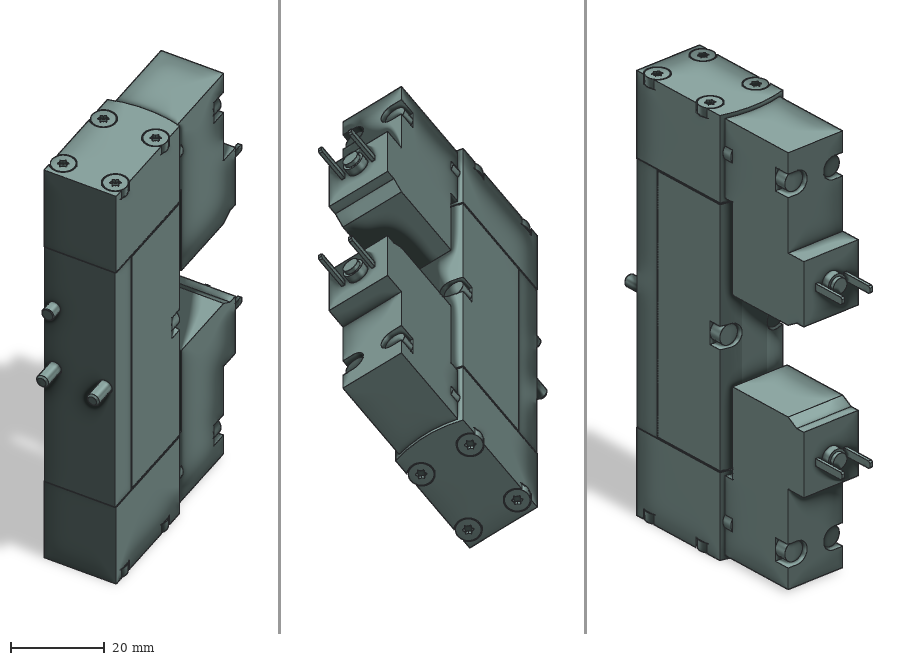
import cadquery as cq
import math


LENGTH = 107.8
HALF_LENGTH = LENGTH / 2
COVER_HALF_WIDTH = 8.9
BASE_HALF_WIDTH = 8.7
SIDE_HEIGHT = 27.4
CROWN_HEIGHT = 28.7
JOINT_Z = 32.6
COVER_JOINT_GAP = 0.3
BASE_HEIGHT = 6.85
END_BLOCK_SETBACK = 0.15
LABEL_FLAT_Y = 28.5
LABEL_FLAT_HALF_LENGTH = 19.3

END_SCREW_X = 6.45
END_SCREW_YS = (4.1, 21.4)
END_HEAD_DIAMETER = 5.5
END_POCKET_DIAMETER = 6.0
END_HEAD_HEIGHT = 2.4
STAR_OUTER_DIAMETER = 2.5
STAR_INNER_DIAMETER = 1.8
STAR_LOBES = 6
STAR_DEPTH = 1.0

SLOT_HEAD_DIAMETER = 5.0
SLOT_WIDTH = 5.7
BODY_SCREW_X = 6.4
BODY_SLOT_FLOOR_Y = 24.2
BODY_HEAD_TOP_Y = 27.4
COIL_SCREW_X = 5.2
COIL_SCREW_Z = 44.85
COIL_SLOT_FLOOR_Y = 44.2
COIL_HEAD_TOP_Y = 47.3

PIN_X = 6.25
PIN_DIAMETER = 3.0
PIN_LENGTH = 5.5
PIN_TIP_CHAMFER = 0.45
PIN_HOLE_DIAMETER = 3.5
PIN_HOLE_DEPTH = 2.0
LOCATING_PIN_Z = 16.9
LOCATING_PIN_LENGTH = 3.0
LOCATING_PIN_CHAMFER = 0.2

COIL_HALF_WIDTH = 7.7
COIL_SEAT_Y = 27.0
COIL_GAP_Y = 30.2
COIL_SHOULDER_Y = 48.4
COIL_BACK_Y = 53.5
COIL_OUTER_Z = 52.9
COIL_FOOT_Z = 33.6
COIL_SHOULDER_Z = 28.6
COIL_LIP_Z = 12.75
COIL_LIP_DEPTH = 2.3
COIL_INNER_Z = 11.1
SPIGOT_X = 5.45
SPIGOT_Z = 44.65
SPIGOT_DIAMETER = 5.5

PLUG_Z = 21.2
PLUG_DIAMETER = 5.0
PLUG_TOP_Y = 55.5
PLUG_TIP_DIAMETER = 3.8
PLUG_TIP_Y = 56.5
TERMINAL_X = 3.95
TERMINAL_THICKNESS = 0.8
TERMINAL_WIDTH = 1.8
TERMINAL_TIP_Y = 62.1
TERMINAL_TIP_CHAMFER = 0.4

SIDES = (-1, 1)


def block(x_half, y_start, y_end, z_start, z_end):
    """Box centred on X = 0 between the given Y and Z limits."""
    return cq.Workplane("XY").box(
        2 * x_half, y_end - y_start, z_end - z_start, centered=(True, False, False)
    ).translate((0, y_start, z_start))


def rod(x, z, diameter, y_start, y_end):
    """Cylinder along Y."""
    return (
        cq.Workplane("XZ", origin=(x, y_start, z))
        .circle(diameter / 2)
        .extrude(y_start - y_end)
    )


def crowned_block(half_width, y_front, z_start, z_end):
    """Prism along Z with flat sides and an arched back."""
    return (
        cq.Workplane("XY", origin=(0, 0, z_start))
        .moveTo(-half_width, y_front)
        .lineTo(half_width, y_front)
        .lineTo(half_width, SIDE_HEIGHT)
        .threePointArc((0, CROWN_HEIGHT), (-half_width, SIDE_HEIGHT))
        .close()
        .extrude(z_end - z_start)
    )


def middle_body():
    base = block(BASE_HALF_WIDTH, 0, SIDE_HEIGHT, -JOINT_Z, JOINT_Z)
    cover_z = JOINT_Z - COVER_JOINT_GAP
    cover = crowned_block(COVER_HALF_WIDTH, BASE_HEIGHT, -cover_z, cover_z)
    label_flat = block(
        COVER_HALF_WIDTH, LABEL_FLAT_Y, CROWN_HEIGHT, -LABEL_FLAT_HALF_LENGTH, LABEL_FLAT_HALF_LENGTH
    )
    return base.union(cover.cut(label_flat))


def star_recess(x, y):
    """Six-lobed driver recess sunk into the +Z end."""
    points = []
    for i in range(2 * STAR_LOBES):
        diameter = STAR_INNER_DIAMETER if i % 2 else STAR_OUTER_DIAMETER
        angle = math.pi / 2 + i * math.pi / STAR_LOBES
        points.append((x + diameter / 2 * math.cos(angle), y + diameter / 2 * math.sin(angle)))
    return (
        cq.Workplane("XY", origin=(0, 0, HALF_LENGTH))
        .polyline(points)
        .close()
        .extrude(-STAR_DEPTH)
    )


def end_block():
    """End block on the +Z side with its four flush screws."""
    body = crowned_block(COVER_HALF_WIDTH, END_BLOCK_SETBACK, JOINT_Z, HALF_LENGTH)
    end_plane = cq.Workplane("XY", origin=(0, 0, HALF_LENGTH))
    for side in SIDES:
        for y in END_SCREW_YS:
            centre = end_plane.center(side * END_SCREW_X, y)
            pocket = centre.circle(END_POCKET_DIAMETER / 2).extrude(-END_HEAD_HEIGHT)
            head = centre.circle(END_HEAD_DIAMETER / 2).extrude(-END_HEAD_HEIGHT)
            body = body.cut(pocket).union(head).cut(star_recess(side * END_SCREW_X, y))
    return body


def side_slot(side, x, z, y_floor, y_top):
    """Round-ended screw slot that opens through the side face."""
    reach = 2 * COVER_HALF_WIDTH
    straight = (
        cq.Workplane("XY")
        .box(reach, y_top - y_floor, SLOT_WIDTH, centered=(True, False, True))
        .translate((side * (x + reach / 2), y_floor, z))
    )
    return straight.union(rod(side * x, z, SLOT_WIDTH, y_floor, y_top))


def add_slotted_screws(body, x, z, y_floor, y_head, y_top):
    """Cut the pair of side slots and seat a screw head in each."""
    for side in SIDES:
        body = body.cut(side_slot(side, x, z, y_floor, y_top))
        body = body.union(rod(side * x, z, SLOT_HEAD_DIAMETER, y_floor, y_head))
    return body


def terminal(x):
    return (
        cq.Workplane("XY")
        .box(TERMINAL_THICKNESS, TERMINAL_TIP_Y - COIL_BACK_Y, TERMINAL_WIDTH, centered=(True, False, True))
        .faces(">Y")
        .edges("|X")
        .chamfer(TERMINAL_TIP_CHAMFER)
        .translate((x, COIL_BACK_Y, PLUG_Z))
    )


def coil():
    """Pilot coil on the +Z half with its screws, spigots and plug."""
    outline = [
        (COIL_SEAT_Y, COIL_OUTER_Z),
        (COIL_SHOULDER_Y, COIL_OUTER_Z),
        (COIL_SHOULDER_Y, COIL_SHOULDER_Z),
        (COIL_BACK_Y, COIL_SHOULDER_Z),
        (COIL_BACK_Y, COIL_LIP_Z),
        (COIL_BACK_Y - COIL_LIP_DEPTH, COIL_LIP_Z),
        (COIL_SHOULDER_Y, COIL_INNER_Z),
        (COIL_GAP_Y, COIL_INNER_Z),
        (COIL_GAP_Y, COIL_FOOT_Z),
        (COIL_SEAT_Y, COIL_FOOT_Z),
    ]
    body = cq.Workplane("YZ").polyline(outline).close().extrude(COIL_HALF_WIDTH, both=True)
    body = add_slotted_screws(
        body, COIL_SCREW_X, COIL_SCREW_Z, COIL_SLOT_FLOOR_Y, COIL_HEAD_TOP_Y, COIL_SHOULDER_Y
    )
    for side in SIDES:
        body = body.union(rod(side * SPIGOT_X, SPIGOT_Z, SPIGOT_DIAMETER, COIL_SEAT_Y, COIL_GAP_Y))
        body = body.union(terminal(side * TERMINAL_X))
    body = body.union(rod(0, PLUG_Z, PLUG_DIAMETER, COIL_BACK_Y, PLUG_TOP_Y))
    return body.union(rod(0, PLUG_Z, PLUG_TIP_DIAMETER, PLUG_TOP_Y, PLUG_TIP_Y))


def pin(x, z, length, chamfer):
    """Pin standing out of the mounting face, rooted below its clearance hole."""
    return rod(x, z, PIN_DIAMETER, -length, PIN_HOLE_DEPTH).faces("<Y").chamfer(chamfer)


def add_pins(body):
    for side in SIDES:
        body = body.cut(rod(side * PIN_X, 0, PIN_HOLE_DIAMETER, 0, PIN_HOLE_DEPTH))
        body = body.union(pin(side * PIN_X, 0, PIN_LENGTH, PIN_TIP_CHAMFER))
    return body.union(pin(-PIN_X, LOCATING_PIN_Z, LOCATING_PIN_LENGTH, LOCATING_PIN_CHAMFER))


valve = add_slotted_screws(
    middle_body(), BODY_SCREW_X, 0, BODY_SLOT_FLOOR_Y, BODY_HEAD_TOP_Y, CROWN_HEIGHT
)
valve = add_pins(valve)
upper_half = end_block().union(coil())
result = valve.union(upper_half).union(upper_half.mirror("XY"))